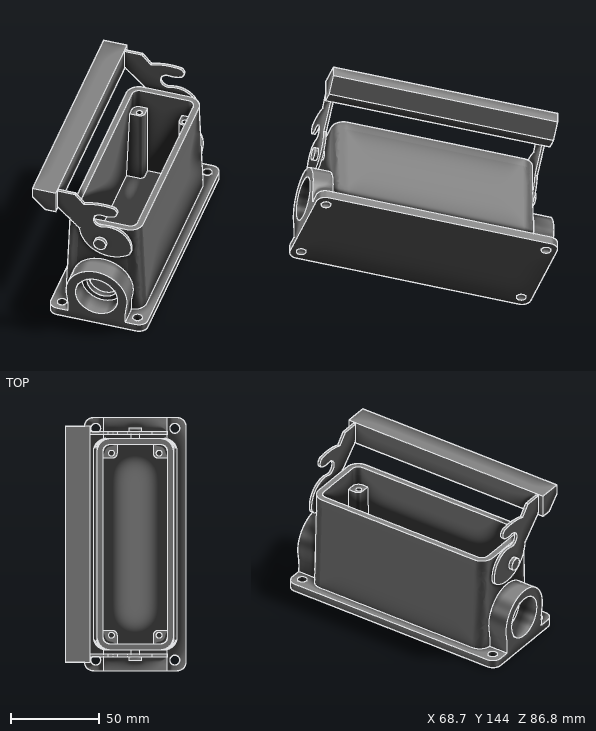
import cadquery as cq

BASE_X = 57.9
BASE_Y = 144.0
BASE_Z = 4.9
BASE_CORNER = 5.3
MOUNT_HOLE_X = 22.5
MOUNT_HOLE_Y = 65.8
MOUNT_HOLE_DIAMETER = 5.5

SHELL_TOP_X = 43.3
SHELL_BOTTOM_X = 47.7
SHELL_Y = 120.1
SHELL_CORNER = 7.5
SHELL_TOP_Z = 64.1
RIM_BOTTOM_Z = 58.5
WALL = 3.5

BOSS_INNER_X = 10.2
BOSS_INNER_Y = 49.0
BOSS_CORNER = 2.7
BOSS_TOP_Z = 52.0
SCREW_HOLE_X = 13.5
SCREW_HOLE_Y = 51.7
SCREW_HOLE_DIAMETER = 3.3

GLAND_Z = 20.0
GLAND_RADIUS = 18.1
GLAND_FLANK_Z = 17.1
GLAND_WAIST_X = 17.0
GLAND_WAIST_Z = 10.1
GLAND_FOOT_X = 17.1
GLAND_BORE_DIAMETER = 25.0
ENTRY_HOLE_DIAMETER = 19.0

PIVOT_Z = 54.1
PIVOT_DIAMETER = 4.9
PIVOT_HEAD_DIAMETER = 7.2
PIVOT_HEAD_END_Y = 66.1

PLATE_INNER_Y = 62.4
PLATE_OUTER_Y = 64.0
ARM_TOP_Z = 86.0
ARM_BOTTOM_Z = 74.0
ARM_CORNER_X = -15.4
FINGER_ROOT = (-10.1, 79.9)
FINGER_BACK = (-1.7, 81.6)
FINGER_TIP_TOP = (6.6, 81.4)
FINGER_TIP = (9.6, 78.0)
FINGER_TIP_BOTTOM = (7.3, 75.0)
FINGER_UNDERSIDE = (3.9, 74.3)
HOOK_MOUTH_X = 0.9
HOOK_BOTTOM_X = -4.3
HOOK_Z = 70.1
HOOK_WIDTH = 8.6
NOSE_TOP = (14.4, 62.6)
NOSE_FRONT = (18.1, 53.4)
NOSE_TIP = (17.3, 49.8)
NOSE_BOTTOM = (14.4, 47.5)
BELLY = (-3.3, 47.1)
BELLY_END = (-12.7, 61.3)

BAR_LEFT_X = -39.7
BAR_SIZE = 14.0
BAR_CHAMFER = 7.6
BAR_Y = 134.2
BAR_TOP_Z = 86.8

SHELL_END_Y = SHELL_Y / 2
CAVITY_END_Y = SHELL_END_Y - WALL
GLAND_LENGTH = BASE_Y / 2 - SHELL_END_Y
BAR_RIGHT_X = BAR_LEFT_X + BAR_SIZE
BAR_BOTTOM_Z = BAR_TOP_Z - BAR_SIZE
SIDES = (-1, 1)
ENDS = (-1, 1)


def rounded_box(size_x, size_y, corner, bottom_z, top_z):
    """Upright block with rounded vertical edges."""
    block = cq.Workplane("XY", origin=(0, 0, bottom_z)).rect(size_x, size_y)
    return block.extrude(top_z - bottom_z).edges("|Z").fillet(corner)


def rounded_rectangle(size_x, size_y, corner):
    return cq.Sketch().rect(size_x, size_y).vertices().fillet(corner)


def drafted_block(inset):
    """Shell volume moved inward by inset: drafted sides below a straight rim."""
    size_y = SHELL_Y - 2 * inset
    corner = SHELL_CORNER - inset
    bottom = rounded_rectangle(SHELL_BOTTOM_X - 2 * inset, size_y, corner)
    top = rounded_rectangle(SHELL_TOP_X - 2 * inset, size_y, corner)
    drafted = cq.Workplane("XY").placeSketch(
        bottom.moved(cq.Location(cq.Vector(0, 0, BASE_Z))),
        top.moved(cq.Location(cq.Vector(0, 0, RIM_BOTTOM_Z))),
    ).loft(ruled=True)
    rim = rounded_box(SHELL_TOP_X - 2 * inset, size_y, corner, RIM_BOTTOM_Z, SHELL_TOP_Z)
    return drafted.union(rim)


def cylinder_along_y(diameter, z, start_y, end_y):
    circle = cq.Workplane("XZ", origin=(0, start_y, z)).circle(diameter / 2)
    return circle.extrude(start_y - end_y)


def make_base():
    holes = cq.Workplane("XY").rect(2 * MOUNT_HOLE_X, 2 * MOUNT_HOLE_Y, forConstruction=True)
    holes = holes.vertices().circle(MOUNT_HOLE_DIAMETER / 2).extrude(BASE_Z)
    return rounded_box(BASE_X, BASE_Y, BASE_CORNER, 0, BASE_Z).cut(holes)


def make_gland(end):
    """Round-topped cable gland standing on the base, from the shell to the base edge."""
    flank_x = (GLAND_RADIUS**2 - (GLAND_Z - GLAND_FLANK_Z) ** 2) ** 0.5
    outline = (
        cq.Workplane("XZ", origin=(0, end * SHELL_END_Y, 0))
        .moveTo(-GLAND_FOOT_X, BASE_Z)
        .threePointArc((-GLAND_WAIST_X, GLAND_WAIST_Z), (-flank_x, GLAND_FLANK_Z))
        .threePointArc((0, GLAND_Z + GLAND_RADIUS), (flank_x, GLAND_FLANK_Z))
        .threePointArc((GLAND_WAIST_X, GLAND_WAIST_Z), (GLAND_FOOT_X, BASE_Z))
        .close()
    )
    gland = outline.extrude(-end * GLAND_LENGTH)
    bore = cylinder_along_y(GLAND_BORE_DIAMETER, GLAND_Z, end * SHELL_END_Y, end * BASE_Y / 2)
    return gland.cut(bore)


def make_bosses(cavity):
    """Four corner screw bosses that rise from the floor and fill the cavity corners."""
    size_x = SHELL_BOTTOM_X / 2 - BOSS_INNER_X
    size_y = SHELL_END_Y - BOSS_INNER_Y
    bosses = cq.Workplane("XY")
    for side in SIDES:
        for end in ENDS:
            center_x = side * (BOSS_INNER_X + size_x / 2)
            center_y = end * (BOSS_INNER_Y + size_y / 2)
            boss = rounded_box(size_x, size_y, BOSS_CORNER, BASE_Z, BOSS_TOP_Z)
            boss = boss.translate((center_x, center_y, 0))
            hole = cq.Workplane("XY", origin=(side * SCREW_HOLE_X, end * SCREW_HOLE_Y, BASE_Z))
            hole = hole.circle(SCREW_HOLE_DIAMETER / 2).extrude(BOSS_TOP_Z - BASE_Z)
            bosses = bosses.add(boss.cut(hole).intersect(cavity))
    return bosses.combine()


def make_pivot(end):
    """Headed pivot that carries one lever plate."""
    stem = cylinder_along_y(PIVOT_DIAMETER, PIVOT_Z, end * SHELL_END_Y, end * PLATE_OUTER_Y)
    head = cylinder_along_y(PIVOT_HEAD_DIAMETER, PIVOT_Z, end * PLATE_OUTER_Y, end * PIVOT_HEAD_END_Y)
    return stem.union(head)


def make_housing():
    cavity = drafted_block(WALL)
    housing = make_base().union(drafted_block(0).cut(cavity))
    housing = housing.union(make_bosses(cavity))
    for end in ENDS:
        housing = housing.union(make_gland(end)).union(make_pivot(end))
    entry = cylinder_along_y(ENTRY_HOLE_DIAMETER, GLAND_Z, -SHELL_END_Y, -CAVITY_END_Y)
    return housing.cut(entry)


def make_plate(end):
    """Lever plate: arm, locking finger, open hook slot and rounded pivot end."""
    hook_top = (HOOK_MOUTH_X, HOOK_Z + HOOK_WIDTH / 2)
    hook_bottom = (HOOK_MOUTH_X, HOOK_Z - HOOK_WIDTH / 2)
    outline = (
        cq.Workplane("XZ", origin=(0, end * PLATE_INNER_Y, 0))
        .moveTo(BAR_RIGHT_X, ARM_BOTTOM_Z)
        .lineTo(BAR_RIGHT_X, ARM_TOP_Z)
        .lineTo(ARM_CORNER_X, ARM_TOP_Z)
        .lineTo(*FINGER_ROOT)
        .threePointArc(FINGER_BACK, FINGER_TIP_TOP)
        .threePointArc(FINGER_TIP, FINGER_TIP_BOTTOM)
        .threePointArc(FINGER_UNDERSIDE, hook_top)
        .threePointArc((HOOK_BOTTOM_X, HOOK_Z), hook_bottom)
        .threePointArc(NOSE_TOP, NOSE_FRONT)
        .threePointArc(NOSE_TIP, NOSE_BOTTOM)
        .threePointArc(BELLY, BELLY_END)
        .close()
    )
    plate = outline.extrude(end * (PLATE_INNER_Y - PLATE_OUTER_Y))
    hole = cylinder_along_y(PIVOT_DIAMETER, PIVOT_Z, end * PLATE_INNER_Y, end * PLATE_OUTER_Y)
    return plate.cut(hole)


def make_lever():
    """Handle bar with one plate near each end."""
    lever = (
        cq.Workplane("XZ", origin=(0, BAR_Y / 2, 0))
        .moveTo(BAR_RIGHT_X, BAR_BOTTOM_Z)
        .lineTo(BAR_RIGHT_X, BAR_TOP_Z)
        .lineTo(BAR_LEFT_X, BAR_TOP_Z)
        .lineTo(BAR_LEFT_X, BAR_BOTTOM_Z + BAR_CHAMFER)
        .lineTo(BAR_LEFT_X + BAR_CHAMFER, BAR_BOTTOM_Z)
        .close()
        .extrude(BAR_Y)
    )
    for end in ENDS:
        lever = lever.union(make_plate(end))
    return lever


housing = make_housing()
lever = make_lever()
result = cq.Compound.makeCompound([housing.solids().val(), lever.solids().val()])